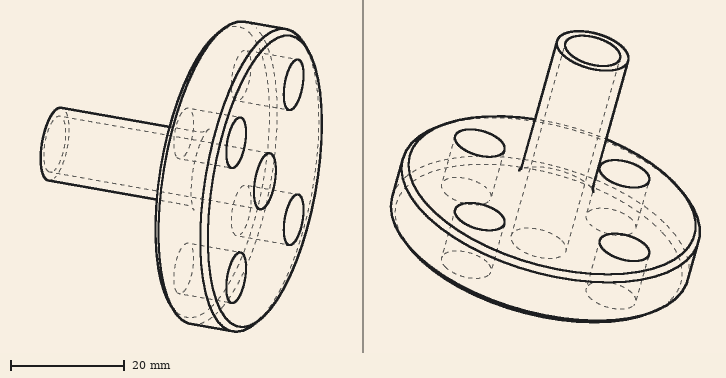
import cadquery as cq

flange_diameter = 54.0
flange_thickness = 10.0
flange_chamfer = 1.0
overall_length = 40.0
pipe_diameter = 13.0
bore_diameter = 10.0
neck_fillet_radius = 4.0
bolt_hole_diameter = 9.0
bolt_circle_diameter = 37.0
bolt_count = 4
first_bolt_angle = 45.0

pipe_length = overall_length - flange_thickness


def make_flange():
    """Disc with both rims chamfered, its pipe-side face at x = pipe_length."""
    disc = cq.Workplane("YZ", origin=(pipe_length, 0, 0))
    disc = disc.circle(flange_diameter / 2).extrude(flange_thickness)
    return disc.edges().chamfer(flange_chamfer)


def make_neck():
    """Pipe stub that flares into the flange through a concave quarter-round."""
    pipe_radius = pipe_diameter / 2
    flare_radius = pipe_radius + neck_fillet_radius
    flange_middle = pipe_length + flange_thickness / 2
    return (
        cq.Workplane("XY")
        .lineTo(0, pipe_radius)
        .lineTo(pipe_length - neck_fillet_radius, pipe_radius)
        .radiusArc((pipe_length, flare_radius), -neck_fillet_radius)
        .lineTo(flange_middle, flare_radius)
        .lineTo(flange_middle, 0)
        .close()
        .revolve(360, (0, 0, 0), (1, 0, 0))
    )


def make_bore():
    """Straight passage along the whole part."""
    return cq.Workplane("YZ").circle(bore_diameter / 2).extrude(overall_length)


def make_bolt_holes():
    """Through holes evenly spaced on the bolt circle."""
    return (
        cq.Workplane("YZ", origin=(pipe_length, 0, 0))
        .polarArray(bolt_circle_diameter / 2, first_bolt_angle, 360, bolt_count)
        .circle(bolt_hole_diameter / 2)
        .extrude(flange_thickness)
    )


result = make_flange().union(make_neck()).cut(make_bore()).cut(make_bolt_holes())